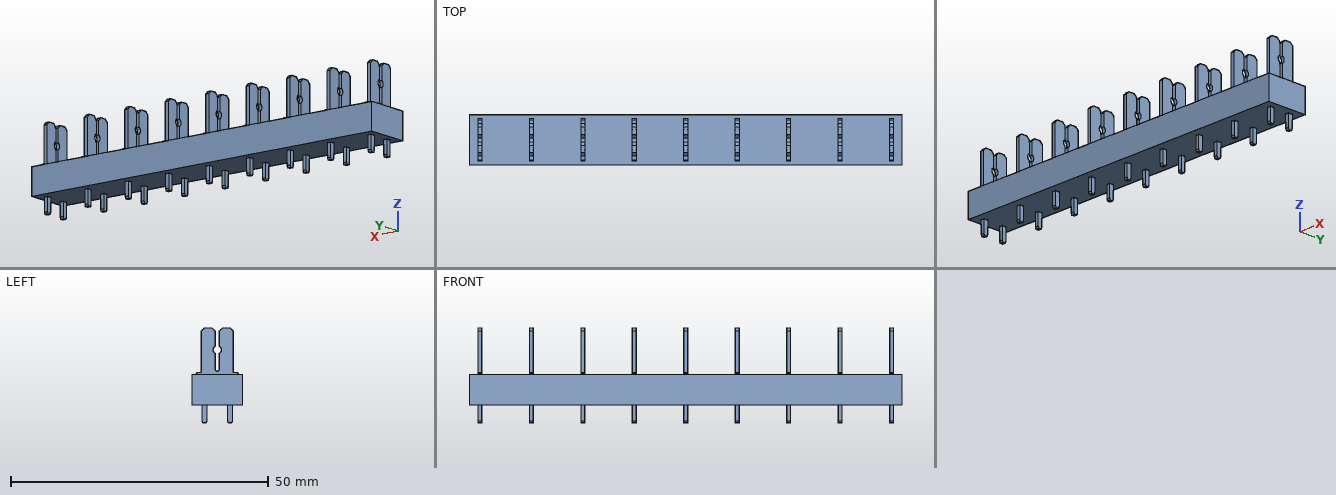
import cadquery as cq

OVERALL_HEIGHT = 18.5

HOUSING_LENGTH = 84.0
HOUSING_WIDTH = 9.8
HOUSING_HEIGHT = 6.0

TERMINAL_COUNT = 9
TERMINAL_PITCH = 10.0
TERMINAL_THICKNESS = 0.8

BLADE_WIDTH = 6.3
BLADE_HEIGHT = 9.1
PRONG_CHAMFER = 0.7
SLOT_WIDTH = 0.75
SLOT_FLOOR_HEIGHT = 0.7
EYE_HEIGHT = 4.8
EYE_DIAMETER = 1.6

SHOULDER_WIDTH = 8.2
SHOULDER_HEIGHT = 0.4
SHOULDER_CHAMFER = 0.25

TAIL_WIDTH = 1.0
TAIL_SPACING = 4.95
TAIL_LENGTH = OVERALL_HEIGHT - BLADE_HEIGHT - HOUSING_HEIGHT
TAIL_CHAMFER_WIDTH = 0.2
TAIL_CHAMFER_HEIGHT = 0.4

TERMINAL_XS = [
    (index - (TERMINAL_COUNT - 1) / 2) * TERMINAL_PITCH for index in range(TERMINAL_COUNT)
]
TAIL_SIDES = (-1, 1)


def plate(x):
    """Sketch plane on the low-X face of the terminal at x; local axes are Y and Z."""
    return cq.Workplane("YZ", origin=(x - TERMINAL_THICKNESS / 2, 0, 0))


def make_shoulder(x):
    """Low bar with chamfered top ends that seats on the housing."""
    bar = (
        plate(x)
        .center(0, HOUSING_HEIGHT + SHOULDER_HEIGHT / 2)
        .rect(SHOULDER_WIDTH, SHOULDER_HEIGHT)
        .extrude(TERMINAL_THICKNESS)
    )
    return bar.faces(">Z").edges("|X").chamfer(SHOULDER_CHAMFER)


def make_blade(x):
    """Blade split into two chamfered prongs by a round-bottomed slot with a round eye."""
    blade = (
        plate(x)
        .center(0, HOUSING_HEIGHT + BLADE_HEIGHT / 2)
        .rect(BLADE_WIDTH, BLADE_HEIGHT)
        .extrude(TERMINAL_THICKNESS)
    )
    slot_floor = HOUSING_HEIGHT + SLOT_FLOOR_HEIGHT
    slot_round_z = slot_floor + SLOT_WIDTH / 2
    slot_top = HOUSING_HEIGHT + BLADE_HEIGHT
    slot = (
        plate(x)
        .moveTo(-SLOT_WIDTH / 2, slot_top)
        .lineTo(-SLOT_WIDTH / 2, slot_round_z)
        .threePointArc((0, slot_floor), (SLOT_WIDTH / 2, slot_round_z))
        .lineTo(SLOT_WIDTH / 2, slot_top)
        .close()
        .extrude(TERMINAL_THICKNESS)
    )
    eye = (
        plate(x)
        .center(0, HOUSING_HEIGHT + EYE_HEIGHT)
        .circle(EYE_DIAMETER / 2)
        .extrude(TERMINAL_THICKNESS)
    )
    return blade.cut(slot).faces(">Z").edges("|X").chamfer(PRONG_CHAMFER).cut(eye)


def make_tail(x, side):
    """Straight tail through the housing, tapered on both sides of its tip."""
    inner = side * (TAIL_SPACING - TAIL_WIDTH) / 2
    outer = side * (TAIL_SPACING + TAIL_WIDTH) / 2
    tip = -TAIL_LENGTH
    taper_start = tip + TAIL_CHAMFER_HEIGHT
    return (
        plate(x)
        .moveTo(inner, HOUSING_HEIGHT)
        .lineTo(outer, HOUSING_HEIGHT)
        .lineTo(outer, taper_start)
        .lineTo(outer - side * TAIL_CHAMFER_WIDTH, tip)
        .lineTo(inner + side * TAIL_CHAMFER_WIDTH, tip)
        .lineTo(inner, taper_start)
        .close()
        .extrude(TERMINAL_THICKNESS)
    )


def make_terminal(x):
    """One complete terminal: shoulder, blade and two tails."""
    terminal = make_shoulder(x).union(make_blade(x))
    for side in TAIL_SIDES:
        terminal = terminal.union(make_tail(x, side))
    return terminal


def make_housing():
    """Bar with a through hole for every tail."""
    bar = cq.Workplane("XY").box(
        HOUSING_LENGTH, HOUSING_WIDTH, HOUSING_HEIGHT, centered=(True, True, False)
    )
    tail_holes = (
        cq.Workplane("XY")
        .pushPoints([(x, side * TAIL_SPACING / 2) for x in TERMINAL_XS for side in TAIL_SIDES])
        .rect(TERMINAL_THICKNESS, TAIL_WIDTH)
        .extrude(HOUSING_HEIGHT)
    )
    return bar.cut(tail_holes)


housing = make_housing()
terminals = [make_terminal(x) for x in TERMINAL_XS]

result = cq.Compound.makeCompound([housing.val(), *[terminal.val() for terminal in terminals]])